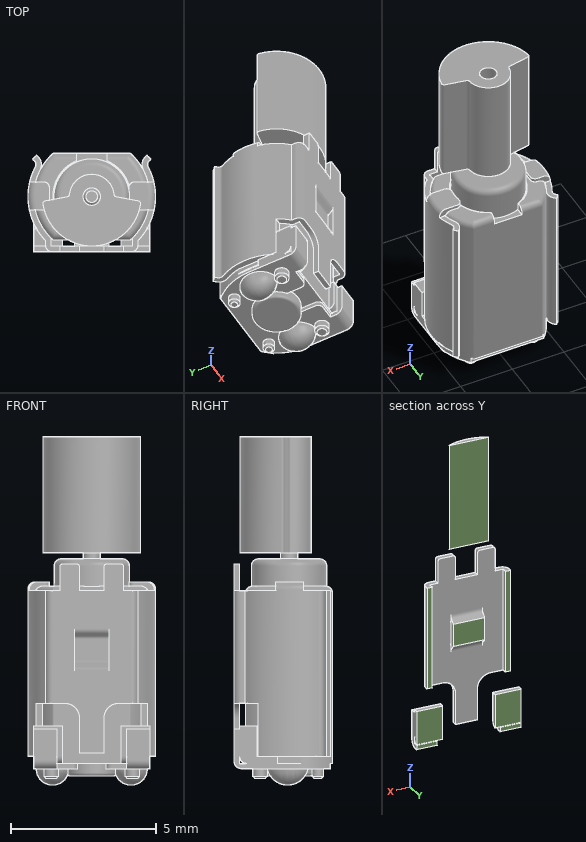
import cadquery as cq
import math


CAN_RADIUS = 2.0
CAN_FLAT_Y = 1.5
CAN_BOTTOM = -0.25
CAN_TOP = 5.86
CAN_FILLET = 0.25
CAN_CORNER_FILLET = 0.08
REAR_NOTCH_WIDTH = 1.06
REAR_NOTCH_INNER_Y = 1.15
REAR_NOTCH_FLOOR = 5.55
SIDE_NOTCH_WIDTH = 0.8
SIDE_NOTCH_DEPTH = 0.04

BOSS_DIAMETER = 2.6
BOSS_TOP = 6.8
BOSS_FILLET = 0.25
BOSS_GROOVE_DIAMETER = 2.68
BOSS_GROOVE_DEPTH = 0.05
SHAFT_DIAMETER = 0.6
SHAFT_CHAMFER = 0.1
SHAFT_RECESS = 0.5
WEIGHT_BOTTOM = 7.0
WEIGHT_TOP = 11.0
WEIGHT_RADIUS = 1.7
WEIGHT_HUB_RADIUS = 0.77
WEIGHT_APEX_Y = 0.15
WEIGHT_ARM_DROP = 10.5
WEIGHT_EDGE_FILLET = 0.1

SHEET = 0.2
CLIP_TOP = 5.7
CLIP_RADIUS = CAN_RADIUS + SHEET
CLIP_PLATE_Y = -1.9
CLIP_CORNER_X = 1.6
CLIP_CORNER_FILLET = 0.25
CLIP_ARC_END = 27.8
LIP_BEND_RADIUS = 0.17
LIP_HEADING = 45.0
LIP_LENGTH = 0.09
CLIP_CUT_TOP = 1.82
CLIP_CUT_Y = -1.07
TONGUE_HALF_WIDTH = 0.42
TONGUE_BOTTOM = 0.12
TONGUE_FILLET = 0.5
PRONG_INNER_X = 0.42
PRONG_OUTER_X = 1.1
PRONG_TOP = 6.62
PRONG_FILLET = 0.1
DIMPLE_WIDTH = 1.2
DIMPLE_BOTTOM = 2.96
DIMPLE_TOP = 4.37
DIMPLE_RAMP_ANGLE = 45.0
DIMPLE_RIM_RADIUS = 0.2
DIMPLE_FLOOR_RADIUS = 0.13
TAB_REAR_Y = 0.5
TAB_FRONT_Y = -0.46
TAB_TOP = 6.0
TAB_FILLET = 0.25
TAB_CORNER_FILLET = 0.18
TAB_INNER_LEFT = -1.46
TAB_INNER_RIGHT = 1.28

BASE_BOTTOM = -0.43
CAP_INSET = 0.08
FOOT_OUTER_X = 2.0
BLOCK_INNER_X = 1.0
BLOCK_TOP = 1.05
BLOCK_REAR_Y = -1.11
BLOCK_FRONT_Y = -1.7
BLOCK_FILLET = 0.23
PAD_INNER_X = 1.2
PAD_FRONT_Y = -1.9
PAD_TOP = 0.94
PAD_FILLET = 0.27
SLAB_INNER_X = 0.49
SLAB_FRONT_Y = -1.45
SLAB_FILLET = 0.2

BEARING_DIAMETER = 1.7
BEARING_BOTTOM = -0.68
BEARING_FILLET = 0.1
DOME_CENTRE = (1.35, -0.05)
DOME_HALF_LENGTH = 0.7
DOME_BOTTOM = -1.0
PIN_BOTTOM = -0.77
PIN_CHAMFER = 0.08
FRONT_PIN = (1.4, -1.0, 0.5)
REAR_PIN = (1.2, 0.99, 0.4)

SIDES = (-1, 1)
OVERLAP = 0.1


def box(x_range, y_range, z_range):
    """Box spanning the given coordinate ranges, in either order."""
    sizes = [abs(end - start) for start, end in (x_range, y_range, z_range)]
    centre = [(start + end) / 2 for start, end in (x_range, y_range, z_range)]
    return cq.Workplane("XY").box(*sizes).translate(tuple(centre))


def cylinder(diameter, bottom, top, x=0, y=0):
    return cq.Workplane("XY", origin=(x, y, bottom)).circle(diameter / 2).extrude(top - bottom)


def flatted_cylinder(radius, flat_y, bottom, top):
    """Cylinder cut by a flat on its +Y side and another on its -Y side."""
    flats = box((-radius, radius), (-flat_y, flat_y), (bottom, top))
    return cylinder(2 * radius, bottom, top).intersect(flats)


def mirror_x(body):
    return body.mirror("YZ")


def polar(radius, degrees):
    angle = math.radians(degrees)
    return (radius * math.cos(angle), radius * math.sin(angle))


def make_can():
    can = flatted_cylinder(CAN_RADIUS, CAN_FLAT_Y, CAN_BOTTOM, CAN_TOP)
    can = can.edges("|Z").fillet(CAN_CORNER_FILLET)
    can = can.faces(">Z").edges().fillet(CAN_FILLET)
    half_notch = REAR_NOTCH_WIDTH / 2
    rear_notch = box((-half_notch, half_notch), (REAR_NOTCH_INNER_Y, CAN_RADIUS), (REAR_NOTCH_FLOOR, CAN_TOP))
    boss_groove = cylinder(BOSS_GROOVE_DIAMETER, CAN_TOP - BOSS_GROOVE_DEPTH, CAN_TOP)
    return can.cut(rear_notch).cut(boss_groove)


def make_boss():
    boss = cylinder(BOSS_DIAMETER, REAR_NOTCH_FLOOR, BOSS_TOP)
    return boss.faces(">Z").edges().fillet(BOSS_FILLET)


def make_weight():
    """Half-round eccentric weight with a round hub on its +Y side."""
    reach = 2 * WEIGHT_RADIUS
    drop = reach * math.tan(math.radians(WEIGHT_ARM_DROP))
    height = WEIGHT_TOP - WEIGHT_BOTTOM
    sector = (
        cq.Workplane("XY", origin=(0, 0, WEIGHT_BOTTOM))
        .polyline([
            (0, WEIGHT_APEX_Y),
            (reach, WEIGHT_APEX_Y - drop),
            (reach, -reach),
            (-reach, -reach),
            (-reach, WEIGHT_APEX_Y - drop),
        ])
        .close()
        .extrude(height)
    )
    weight = cylinder(2 * WEIGHT_RADIUS, WEIGHT_BOTTOM, WEIGHT_TOP).intersect(sector)
    weight = weight.union(cylinder(2 * WEIGHT_HUB_RADIUS, WEIGHT_BOTTOM, WEIGHT_TOP))
    weight = weight.edges("|Z").edges("<X or >X").fillet(WEIGHT_EDGE_FILLET)
    corner_x = WEIGHT_HUB_RADIUS + OVERLAP
    hub_corners = cq.selectors.BoxSelector(
        (-corner_x, -OVERLAP, WEIGHT_BOTTOM - OVERLAP),
        (corner_x, OVERLAP, WEIGHT_TOP + OVERLAP),
    )
    weight = weight.edges("|Z").edges(hub_corners).fillet(WEIGHT_EDGE_FILLET)
    return weight.cut(cylinder(SHAFT_DIAMETER, WEIGHT_BOTTOM, WEIGHT_TOP))


def make_shaft():
    shaft = cylinder(SHAFT_DIAMETER, BOSS_TOP - OVERLAP, WEIGHT_TOP - SHAFT_RECESS)
    return shaft.faces(">Z").edges().chamfer(SHAFT_CHAMFER)


def clip_half():
    """+X half of the clip section: front plate, corner, round side and flared lip."""
    inner_corner_x = CLIP_CORNER_X - SHEET
    inner_plate_y = CLIP_PLATE_Y + SHEET
    outer_start = -math.degrees(math.acos(CLIP_CORNER_X / CLIP_RADIUS))
    inner_start = -math.degrees(math.acos(inner_corner_x / CAN_RADIUS))
    bend_centre = cq.Vector(*polar(CLIP_RADIUS + LIP_BEND_RADIUS, CLIP_ARC_END))
    bend_end = LIP_HEADING + 90
    bend_middle = (CLIP_ARC_END + 180 + bend_end) / 2
    lip = cq.Vector(*polar(LIP_LENGTH, LIP_HEADING))
    inner_bend_radius = LIP_BEND_RADIUS + SHEET

    def on_bend(radius, degrees):
        return bend_centre + cq.Vector(*polar(radius, degrees))

    outer_bend_end = on_bend(LIP_BEND_RADIUS, bend_end)
    inner_bend_end = on_bend(inner_bend_radius, bend_end)
    outer_tip = outer_bend_end + lip
    inner_tip = inner_bend_end + lip
    half = (
        cq.Workplane("XY")
        .moveTo(0, CLIP_PLATE_Y)
        .lineTo(CLIP_CORNER_X, CLIP_PLATE_Y)
        .lineTo(*polar(CLIP_RADIUS, outer_start))
        .threePointArc(polar(CLIP_RADIUS, 0), polar(CLIP_RADIUS, CLIP_ARC_END))
        .threePointArc(on_bend(LIP_BEND_RADIUS, bend_middle), outer_bend_end)
        .lineTo(outer_tip.x, outer_tip.y)
        .lineTo(inner_tip.x, inner_tip.y)
        .lineTo(inner_bend_end.x, inner_bend_end.y)
        .threePointArc(on_bend(inner_bend_radius, bend_middle), polar(CAN_RADIUS, CLIP_ARC_END))
        .threePointArc(polar(CAN_RADIUS, 0), polar(CAN_RADIUS, inner_start))
        .lineTo(inner_corner_x, inner_plate_y)
        .lineTo(0, inner_plate_y)
        .close()
        .extrude(CLIP_TOP)
    )
    outer_corner = cq.selectors.NearestToPointSelector((CLIP_CORNER_X, CLIP_PLATE_Y, CLIP_TOP / 2))
    return half.edges("|Z").edges(outer_corner).fillet(CLIP_CORNER_FILLET)


def clip_front_cut():
    """Clearance for the feet, leaving a central tongue with rounded shoulders."""
    front_y = CLIP_PLATE_Y - OVERLAP
    cut = box((-CLIP_RADIUS, CLIP_RADIUS), (front_y, CLIP_CUT_Y), (0, CLIP_CUT_TOP))
    tongue = box((-TONGUE_HALF_WIDTH, TONGUE_HALF_WIDTH), (front_y, CLIP_CUT_Y), (TONGUE_BOTTOM, CLIP_CUT_TOP))
    cut = cut.cut(tongue)
    shoulders = cq.selectors.BoxSelector(
        (-TONGUE_HALF_WIDTH - OVERLAP, front_y - OVERLAP, CLIP_CUT_TOP - OVERLAP),
        (TONGUE_HALF_WIDTH + OVERLAP, CLIP_CUT_Y + OVERLAP, CLIP_CUT_TOP + OVERLAP),
    )
    return cut.edges("|Y").edges(shoulders).fillet(TONGUE_FILLET)


def dimple_wedge(front_y):
    """Prism, one sheet deep, with rounded ramps that narrow it towards +Y."""
    angle = math.radians(DIMPLE_RAMP_ANGLE)
    arc_depth = 1 - math.cos(angle)
    rim_y = front_y + DIMPLE_RIM_RADIUS * arc_depth
    floor_y = front_y + SHEET - DIMPLE_FLOOR_RADIUS * arc_depth
    back_y = front_y + SHEET
    rim_length = DIMPLE_RIM_RADIUS * math.sin(angle)
    straight_length = (floor_y - rim_y) / math.tan(angle)
    ramp_start = rim_length + straight_length
    ramp_end = ramp_start + DIMPLE_FLOOR_RADIUS * math.sin(angle)
    middle_z = (DIMPLE_BOTTOM + DIMPLE_TOP) / 2
    lower_half = (
        cq.Workplane("YZ")
        .moveTo(back_y, middle_z)
        .lineTo(back_y, DIMPLE_BOTTOM + ramp_end)
        .tangentArcPoint((floor_y, DIMPLE_BOTTOM + ramp_start), relative=False)
        .lineTo(rim_y, DIMPLE_BOTTOM + rim_length)
        .tangentArcPoint((front_y, DIMPLE_BOTTOM), relative=False)
        .lineTo(front_y, middle_z)
        .close()
        .extrude(DIMPLE_WIDTH / 2, both=True)
    )
    return lower_half.union(lower_half.mirror("XY", (0, 0, middle_z)))


def folded_tab(side, inner_x):
    """Clip tab folded over the shoulder of the can towards the boss."""
    blank = cylinder(2 * CLIP_RADIUS, CLIP_TOP, TAB_TOP).faces(">Z").edges().fillet(TAB_FILLET)
    strip = box((inner_x, side * CLIP_RADIUS), (TAB_FRONT_Y, TAB_REAR_Y), (CLIP_TOP, TAB_TOP))
    inner_face = "<X" if side > 0 else ">X"
    strip = strip.faces(inner_face).edges("|Z").fillet(TAB_CORNER_FILLET)
    return blank.intersect(strip)


def make_clip():
    half = clip_half()
    clip = half.union(mirror_x(half)).cut(clip_front_cut())
    inner_plate_y = CLIP_PLATE_Y + SHEET
    for side in SIDES:
        prong = box(
            (side * PRONG_INNER_X, side * PRONG_OUTER_X),
            (CLIP_PLATE_Y, inner_plate_y),
            (CLIP_TOP - OVERLAP, PRONG_TOP),
        )
        clip = clip.union(prong.faces(">Z").edges("|Y").fillet(PRONG_FILLET))
    return clip.union(dimple_wedge(inner_plate_y)).cut(dimple_wedge(CLIP_PLATE_Y))


def make_foot():
    """+X insulating block with the solder terminal bent around its lower front edge."""
    block = box((BLOCK_INNER_X, FOOT_OUTER_X), (BLOCK_REAR_Y, BLOCK_FRONT_Y), (CAN_BOTTOM, BLOCK_TOP))
    block = block.faces("<Y").edges("<Z").fillet(BLOCK_FILLET)
    side_filler = box((BLOCK_INNER_X, FOOT_OUTER_X), (0, BLOCK_REAR_Y), (CAN_BOTTOM, 0))
    slab = box((SLAB_INNER_X, FOOT_OUTER_X), (0, SLAB_FRONT_Y), (BASE_BOTTOM, CAN_BOTTOM))
    slab = slab.faces("<Y").edges("<X").fillet(SLAB_FILLET)
    pad = box((PAD_INNER_X, FOOT_OUTER_X), (PAD_FRONT_Y, BLOCK_FRONT_Y), (BASE_BOTTOM, PAD_TOP))
    pad_root = box((PAD_INNER_X, FOOT_OUTER_X), (PAD_FRONT_Y, SLAB_FRONT_Y), (BASE_BOTTOM, CAN_BOTTOM))
    terminal = pad.union(pad_root).faces("<Y").edges("<Z").fillet(PAD_FILLET)
    return block.union(side_filler).union(slab).union(terminal)


def make_rear_cap():
    """Lower step of the end cap, covering the +Y half."""
    cap = flatted_cylinder(FOOT_OUTER_X, CAN_FLAT_Y - CAP_INSET, BASE_BOTTOM, CAN_BOTTOM)
    return cap.intersect(box((-FOOT_OUTER_X, FOOT_OUTER_X), (0, CAN_FLAT_Y), (BASE_BOTTOM, CAN_BOTTOM)))


def side_notch(side):
    """Shallow window in the lower edge of the can wall."""
    half_width = SIDE_NOTCH_WIDTH / 2
    floor_x = side * (FOOT_OUTER_X - SIDE_NOTCH_DEPTH)
    return box((floor_x, side * CLIP_RADIUS), (-half_width, half_width), (CAN_BOTTOM, 0))


def make_bearing():
    bearing = cylinder(BEARING_DIAMETER, BEARING_BOTTOM, CAN_BOTTOM)
    return bearing.faces("<Z").edges().fillet(BEARING_FILLET)


def make_dome():
    """+X solder dome: an arc along Y, turned about its own chord."""
    height = BASE_BOTTOM - DOME_BOTTOM
    centre_x, centre_y = DOME_CENTRE
    return (
        cq.Workplane("YZ", origin=(centre_x, centre_y, BASE_BOTTOM))
        .moveTo(-DOME_HALF_LENGTH, 0)
        .threePointArc((0, height), (DOME_HALF_LENGTH, 0))
        .close()
        .revolve(360, (-1, 0), (1, 0))
    )


def make_pin(x, y, diameter):
    pin = cylinder(diameter, PIN_BOTTOM, BASE_BOTTOM, x, y)
    return pin.faces("<Z").edges().chamfer(PIN_CHAMFER)


def make_motor():
    motor = make_can().union(make_boss()).union(make_shaft()).union(make_weight())
    motor = motor.union(make_rear_cap()).union(make_bearing())
    mirrored_parts = [make_foot(), make_dome(), make_pin(*FRONT_PIN), make_pin(*REAR_PIN)]
    for part in mirrored_parts:
        motor = motor.union(part).union(mirror_x(part))
    for side in SIDES:
        motor = motor.cut(side_notch(side))
    motor = motor.union(make_clip())
    motor = motor.union(folded_tab(-1, TAB_INNER_LEFT), clean=False)
    return motor.union(folded_tab(1, TAB_INNER_RIGHT), clean=False)


result = make_motor()